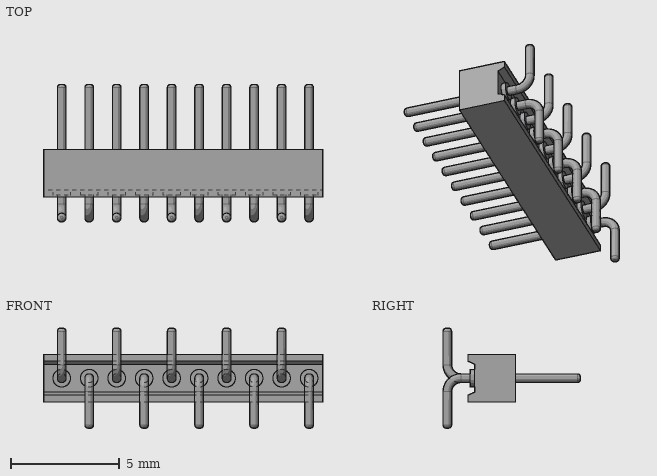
import cadquery as cq
import math

pin_count = 10
pitch = 1.27
pin_radius = 0.205
tip_round = 0.15

left_margin = 0.84
right_margin = 0.64
body_length = left_margin + (pin_count - 1) * pitch + right_margin
body_depth = 2.21
body_height = 2.21

groove_depth = 0.32
groove_floor_height = 1.27
groove_mouth_height = 1.57

collar_diameter = 0.81
collar_length = 0.21

rear_reach = 3.0
front_reach = 1.15
tail_height = 2.315
bend_radius = 0.62

first_pin_x = -(pin_count - 1) * pitch / 2
body_left_x = first_pin_x - left_margin
tail_y = -front_reach + pin_radius
bend_start_y = tail_y + bend_radius
rear_tip_y = body_depth + rear_reach


def make_body():
    """Rectangular bar with a groove that widens outward in its front face."""
    half_height = body_height / 2
    half_floor = groove_floor_height / 2
    half_mouth = groove_mouth_height / 2
    outline = [
        (body_depth, -half_height),
        (body_depth, half_height),
        (0, half_height),
        (0, half_mouth),
        (groove_depth, half_floor),
        (groove_depth, -half_floor),
        (0, -half_mouth),
        (0, -half_height),
    ]
    profile = cq.Workplane("YZ", origin=(body_left_x, 0, 0)).polyline(outline).close()
    return profile.extrude(body_length)


def make_collar(x):
    """Round collar standing on the groove floor."""
    plane = cq.Workplane("XZ", origin=(x, groove_depth, 0))
    return plane.circle(collar_diameter / 2).extrude(collar_length)


def make_pin(x, direction):
    """Round pin bent at a right angle; direction is +1 for a tail pointing up, -1 for down."""
    tail_tip_z = direction * tail_height
    bend_end = (tail_y, direction * bend_radius)
    bend_offset = bend_radius * math.sqrt(0.5)
    bend_middle = (bend_start_y - bend_offset, direction * (bend_radius - bend_offset))
    path = (
        cq.Workplane("YZ", origin=(x, 0, 0))
        .moveTo(rear_tip_y, 0)
        .lineTo(bend_start_y, 0)
        .threePointArc(bend_middle, bend_end)
        .lineTo(tail_y, tail_tip_z)
    )
    pin = cq.Workplane("XZ", origin=(x, rear_tip_y, 0)).circle(pin_radius).sweep(path)
    tail_tip = ">Z" if direction > 0 else "<Z"
    for tip in (">Y", tail_tip):
        pin = pin.faces(tip).edges().fillet(tip_round)
    return pin


result = make_body()
for index in range(pin_count):
    pin_x = first_pin_x + index * pitch
    tail_direction = 1 if index % 2 == 0 else -1
    result = result.union(make_collar(pin_x))
    result = result.union(make_pin(pin_x, tail_direction))